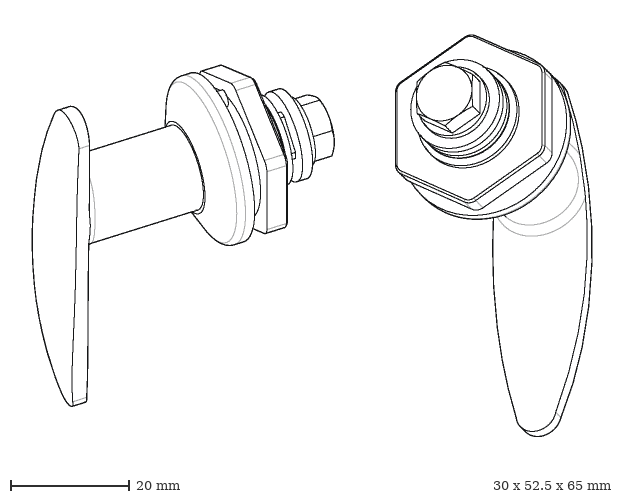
import cadquery as cq
import math


hexagon_half_angle = math.radians(30)

shaft_radius = 7.55
shaft_front_y = -28.6
shoulder_radius = 8.0
shoulder_front_y = 9.3
shoulder_rear_y = 10.4
square_width = 8.25
square_corner_radius = 5.2
square_rear_y = 12.2
blade_fillet = 1.5
stock_half_width = 10.4

blade_length = 65.0
blade_top_z = 19.95
blade_bottom_z = blade_top_z - blade_length
blade_middle_z = -12.9
blade_half_width = 8.5
top_end_half_width = 4.95
top_end_height = 3.2
bottom_end_half_width = 3.6
bottom_end_height = 3.1
blade_front_y = -32.95
front_edge_y = -30.55
front_sweep_radius = 111.8
blade_back_y = -27.2
back_edge_y = -28.1
back_sweep_radius = 331.5

flange_radius = 15.0
flange_corner_y = -2.6
flange_fillet = 1.4
flange_front_radius = 8.2
flange_front_y = -6.1
barrel_radius = 9.0
nose_radius = shoulder_radius
nose_y = 9.1
nose_chamfer = barrel_radius - nose_radius
stop_pin_radius = 1.5
stop_pin_z = 13.0
stop_pin_length = 1.35

nut_front_y = 3.0
nut_rear_y = 7.0
nut_width = 26.9
nut_corner_radius = 2.0
nut_chamfer = 0.4

seal_outer_radius = 11.7
seal_section_radius = 1.0

washer_thickness = 1.9
washer_radius = shoulder_radius
collar_radius = 6.2
collar_thickness = 1.35
head_width = 10.0
head_height = 4.1
head_chamfer_angle = math.radians(30)
bolt_shank_radius = 3.0
bolt_shank_length = 12.0

washer_rear_y = square_rear_y + washer_thickness
collar_rear_y = washer_rear_y + collar_thickness
head_rear_y = collar_rear_y + head_height
bolt_tip_y = washer_rear_y - bolt_shank_length


def plane_at(y):
    """Plane facing +Y at the given level, with its x along X and its y along -Z."""
    return cq.Workplane(cq.Plane(origin=(0, y, 0), xDir=(1, 0, 0), normal=(0, 1, 0)))


def cylinder(radius, y_start, y_end):
    return plane_at(y_start).circle(radius).extrude(y_end - y_start)


def hexagon(width, y_start, y_end):
    """Hexagonal prism with corners at +Z and -Z."""
    across_corners = width / math.cos(hexagon_half_angle)
    prism = plane_at(y_start).polygon(6, across_corners).extrude(y_end - y_start)
    return prism.rotate((0, 0, 0), (0, 1, 0), math.degrees(hexagon_half_angle))


def crowned_disc(middle_y, edge_y, sweep_radius):
    """Large disc about an axis parallel to X, with a rim that is an arc across the blade.

    The rim passes through middle_y at X = 0 and edge_y at the blade's half width.
    """
    axis_y = middle_y + sweep_radius
    crown = edge_y - middle_y
    crown_radius = (blade_half_width**2 + crown**2) / (2 * crown)
    stock_edge_y = middle_y + crown_radius - math.copysign(
        math.sqrt(crown_radius**2 - stock_half_width**2), crown
    )
    profile = (
        cq.Workplane("XY", origin=(0, axis_y, blade_middle_z))
        .moveTo(-stock_half_width, 0)
        .lineTo(-stock_half_width, stock_edge_y - axis_y)
        .threePointArc((0, middle_y - axis_y), (stock_half_width, stock_edge_y - axis_y))
        .lineTo(stock_half_width, 0)
        .close()
    )
    return profile.revolve(360, (0, 0, 0), (1, 0, 0))


def blade_outline_prism():
    """Blade outline carried rearward over the full length of the shaft, which fits inside it."""
    top_end_z = blade_top_z - top_end_height
    bottom_end_z = blade_bottom_z + bottom_end_height
    outline = (
        cq.Workplane("XZ", origin=(0, shoulder_front_y, 0))
        .moveTo(-top_end_half_width, top_end_z)
        .threePointArc((0, blade_top_z), (top_end_half_width, top_end_z))
        .threePointArc((blade_half_width, blade_middle_z), (bottom_end_half_width, bottom_end_z))
        .threePointArc((0, blade_bottom_z), (-bottom_end_half_width, bottom_end_z))
        .threePointArc((-blade_half_width, blade_middle_z), (-top_end_half_width, top_end_z))
        .close()
    )
    return outline.extrude(shoulder_front_y - blade_front_y)


def make_blade_and_shaft():
    """The joint is filleted on oversize stock, so that the blade outline can trim the fillet."""
    stock = cq.Workplane("XY").box(2 * stock_half_width, -blade_front_y, 2 * blade_length)
    stock = stock.translate((0, blade_front_y / 2, 0))
    stock = stock.cut(crowned_disc(blade_back_y, back_edge_y, back_sweep_radius))
    stock = stock.union(cylinder(shaft_radius, shaft_front_y, shoulder_front_y))

    joint_box = cq.selectors.BoxSelector(
        (-shaft_radius, back_edge_y, -shaft_radius),
        (shaft_radius, blade_back_y + blade_fillet, shaft_radius),
    )
    stock = stock.edges(joint_box).fillet(blade_fillet)
    stock = stock.intersect(blade_outline_prism())
    return stock.intersect(crowned_disc(blade_front_y, front_edge_y, front_sweep_radius))


def make_handle():
    shoulder = cylinder(shoulder_radius, shoulder_front_y, shoulder_rear_y)
    square = (
        plane_at(shoulder_rear_y)
        .transformed(rotate=(0, 0, 45))
        .rect(square_width, square_width)
        .extrude(square_rear_y - shoulder_rear_y)
        .intersect(cylinder(square_corner_radius, shoulder_rear_y, square_rear_y))
    )
    bolt_hole = cylinder(bolt_shank_radius, bolt_tip_y, square_rear_y)
    return make_blade_and_shaft().union(shoulder).union(square).cut(bolt_hole)


def make_housing():
    profile = [
        (0, flange_front_y),
        (flange_front_radius, flange_front_y),
        (flange_radius, flange_corner_y),
        (flange_radius, 0),
        (barrel_radius, 0),
        (barrel_radius, nose_y - nose_chamfer),
        (nose_radius, nose_y),
        (0, nose_y),
    ]
    housing = cq.Workplane("XY").polyline(profile).close().revolve(360, (0, 0, 0), (0, 1, 0))
    flange_rims = housing.edges(cq.selectors.RadiusNthSelector(-1))
    housing = flange_rims.edges("<Y").fillet(flange_fillet)

    stop_pin = cylinder(stop_pin_radius, 0, stop_pin_length).translate((0, 0, stop_pin_z))
    shaft_bore = cylinder(shaft_radius, flange_front_y, nose_y)
    return housing.union(stop_pin).cut(shaft_bore)


def make_nut():
    nut = hexagon(nut_width, nut_front_y, nut_rear_y)
    nut = nut.edges("|Y").fillet(nut_corner_radius)
    nut = nut.faces(">Y").edges().chamfer(nut_chamfer)
    return nut.cut(cylinder(barrel_radius, nut_front_y, nut_rear_y))


def make_seal():
    """Ring of round section that rests against the front of the nut."""
    ring_radius = seal_outer_radius - seal_section_radius
    ring_y = nut_front_y - seal_section_radius
    return (
        cq.Workplane("XY")
        .moveTo(ring_radius, ring_y)
        .circle(seal_section_radius)
        .revolve(360, (0, 0, 0), (0, 1, 0))
    )


def make_washer():
    washer = cylinder(washer_radius, square_rear_y, washer_rear_y)
    return washer.cut(cylinder(bolt_shank_radius, square_rear_y, washer_rear_y))


def make_bolt():
    corner_radius = head_width / 2 / math.cos(hexagon_half_angle)
    chamfer_width = corner_radius - head_width / 2
    chamfer_height = chamfer_width * math.tan(head_chamfer_angle)
    chamfered_blank = (
        cylinder(corner_radius, collar_rear_y, head_rear_y)
        .faces(">Y")
        .chamfer(chamfer_height, chamfer_width)
    )
    head = hexagon(head_width, collar_rear_y, head_rear_y).intersect(chamfered_blank)
    collar = cylinder(collar_radius, washer_rear_y, collar_rear_y)
    shank = cylinder(bolt_shank_radius, bolt_tip_y, washer_rear_y)
    return head.union(collar).union(shank)


handle = make_handle()
housing = make_housing()
nut = make_nut()
seal = make_seal()
washer = make_washer()
bolt = make_bolt()

result = cq.Compound.makeCompound(
    [handle.val(), housing.val(), nut.val(), seal.val(), washer.val(), bolt.val()]
)